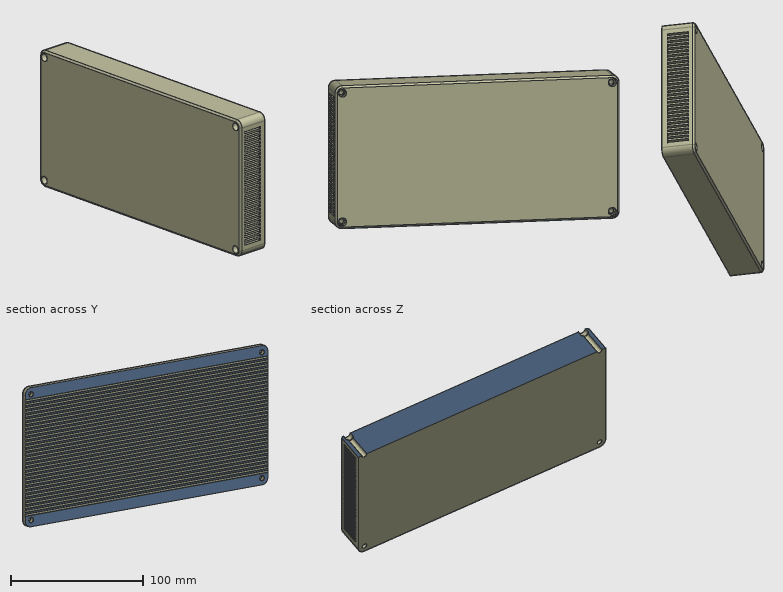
import cadquery as cq

length = 220.0
depth = 25.5
height = 110.0
corner_radius = 5.5
front_chamfer = 1.5

hole_diameter = 4.0
counterbore_diameter = 6.0
counterbore_depth = 4.8

slot_count = 31
slot_span = 90.0
slot_pitch = slot_span / (slot_count - 1)
slot_width = 16.0
slot_height = 1.5
slot_center_y = 13.0


def make_body():
    """Block with rounded corners and a chamfer around its front face."""
    block = cq.Workplane("XY").box(length, depth, height, centered=(True, False, True))
    return block.edges("|Y").fillet(corner_radius).faces("<Y").chamfer(front_chamfer)


def make_corner_cylinders(diameter, cylinder_depth):
    """Cylinders on the four corner axes, reaching back from the front face."""
    spacing_x = length - 2 * corner_radius
    spacing_z = height - 2 * corner_radius
    return (
        cq.Workplane("XZ")
        .rarray(spacing_x, spacing_z, 2, 2)
        .circle(diameter / 2)
        .extrude(-cylinder_depth)
    )


def make_slots():
    """Row of rectangular slots passing through both end faces."""
    return (
        cq.Workplane("YZ")
        .center(slot_center_y, 0)
        .rarray(2.2, slot_pitch, 1, slot_count)
        .rect(slot_width, slot_height)
        .extrude(length / 2, both=True)
    )


holes = make_corner_cylinders(hole_diameter, depth)
counterbores = make_corner_cylinders(counterbore_diameter, counterbore_depth)

result = make_body().cut(holes).cut(counterbores).cut(make_slots())